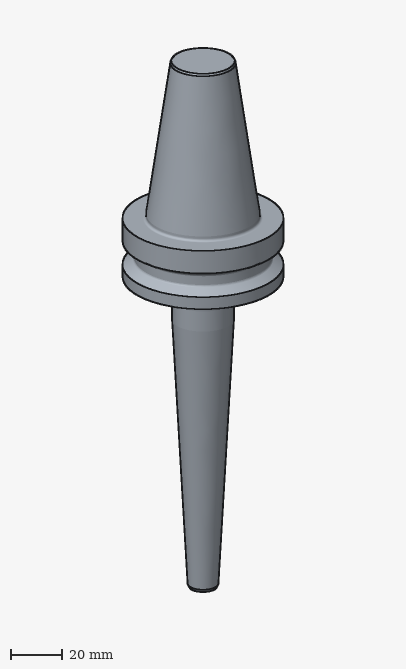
import cadquery as cq

total_length = 225.5

taper_length = 65.4
taper_top_radius = 12.8
gauge_radius = 22.3
top_chamfer_height = 1.0
top_chamfer_width = 0.5
gauge_height = total_length - taper_length

neck_fillet = 1.1

flange_radius = 31.5
flange_top = 158.0
flange_bottom = 133.0
upper_rim_thickness = 9.7
lower_rim_thickness = 5.2
groove_radius = 27.0
groove_bevel_height = 2.7
groove_fillet = 1.0

collar_radius = 12.2
collar_top = 123.3
collar_bottom = 114.7
fillet_outer_radius = 19.2
tip_radius = 6.0
tip_chamfer_height = 1.4
tip_chamfer_width = 0.7


def revolve_profile(profile):
    """Close a half-profile in the XZ plane and turn it about the Z axis."""
    return profile.close().revolve(360, (0, 0, 0), (0, 1, 0))


def make_taper():
    profile = (
        cq.Workplane("XZ")
        .moveTo(0, flange_top)
        .lineTo(gauge_radius + neck_fillet, flange_top)
        .radiusArc((gauge_radius, flange_top + neck_fillet), neck_fillet)
        .lineTo(gauge_radius, gauge_height)
        .lineTo(taper_top_radius, total_length - top_chamfer_height)
        .lineTo(taper_top_radius - top_chamfer_width, total_length)
        .lineTo(0, total_length)
    )
    return revolve_profile(profile)


def make_flange():
    groove_top = flange_top - upper_rim_thickness
    groove_bottom = flange_bottom + lower_rim_thickness
    floor_top = groove_top - groove_bevel_height
    floor_bottom = groove_bottom + groove_bevel_height
    profile = (
        cq.Workplane("XZ")
        .moveTo(0, flange_bottom)
        .lineTo(flange_radius, flange_bottom)
        .lineTo(flange_radius, groove_bottom)
        .lineTo(groove_radius, floor_bottom)
        .lineTo(groove_radius, floor_top)
        .lineTo(flange_radius, groove_top)
        .lineTo(flange_radius, flange_top)
        .lineTo(0, flange_top)
    )
    flange = revolve_profile(profile)
    floor_edges = flange.edges("%CIRCLE").filter(
        lambda edge: abs(edge.radius() - groove_radius) < groove_fillet
    )
    return floor_edges.fillet(groove_fillet)


def make_nose():
    profile = (
        cq.Workplane("XZ")
        .moveTo(0, 0)
        .lineTo(tip_radius - tip_chamfer_width, 0)
        .lineTo(tip_radius, tip_chamfer_height)
        .lineTo(collar_radius, collar_bottom)
        .lineTo(collar_radius, collar_top)
        .tangentArcPoint((fillet_outer_radius, flange_bottom), relative=False)
        .lineTo(0, flange_bottom)
    )
    return revolve_profile(profile)


result = make_flange().union(make_taper()).union(make_nose())